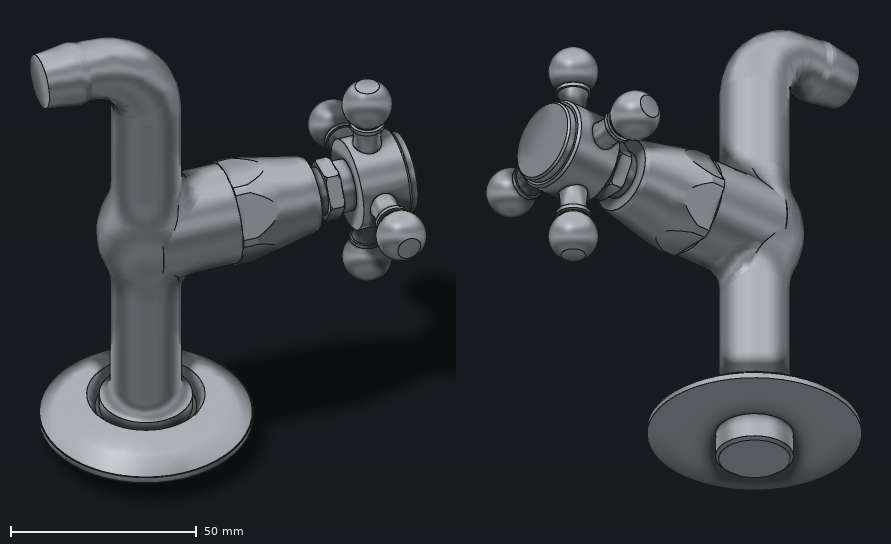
import cadquery as cq
import math

pipe_radius = 9.7
valve_z = 71.2
bulb_radius = 13.6
bulb_shoulder_radius = 11.5
bulb_shoulder_height = 9.2
bulb_half = 17.2

shank_radius = 10.5
shank_chamfer = 0.8
plate_bottom = 7.8
plate_rim_top = 9.7
plate_top = 15.7
plate_radius = 29.0
plate_rim_radius = 28.7
plate_land_radius = 16.8
plate_dome_rise = 0.8
recess_radius = 16.0
recess_floor_radius = 13.7
recess_depth = 4.2
foot_radius = 12.6
flare_height = 5.0

spout_z = 131.1
bend_radius = 16.2
spout_radius = 8.3
flare_start = 18.6
collar_start = 20.5
collar_end = 21.7
collar_radius = 8.8
nozzle_tip = 30.6
nozzle_tip_radius = 7.5

body_radius = 13.9
body_end = 22.8
body_fillet = 6.2
bonnet_radius = 14.5
bonnet_flat_apothem = 13.2
bonnet_cone_start = 26.9
bonnet_end = 47.0
bonnet_end_radius = 10.8
bonnet_end_chamfer = (0.5, 1.4)

spindle_radius = 6.7
nut_start = 50.1
nut_end = 54.3
nut_apothem = 7.5
nut_chamfer = 0.5
collar_neck_radius = 7.1

hub_start = 58.0
hub_end = 72.2
hub_radius = 12.6
hub_chamfer = 0.7
cap_radius = 11.2
cap_end = 74.7
cap_chamfer = 0.5
handle_y = 63.8
ball_centre = 26.0
ball_radius = 6.9
arm_tip = 32.0
arm_root_radius = 4.2
arm_root_inset = 1.4
arm_waist_radius = 3.6
ring_inner = 18.7
ring_outer = 19.9
ring_radius = 4.8
neck_radius = 3.8


def turn_about_z(profile):
    """Solid of revolution about Z from a closed XZ profile (X is the radius)."""
    return profile.close().revolve(360, (0, 0, 0), (0, 1, 0))


def lay_along_y(solid):
    """Tip a solid built on +Z onto the valve axis, pointing towards +Y."""
    return solid.rotate((0, 0, 0), (1, 0, 0), -90).translate((0, 0, valve_z))


def disc(radius, start, end):
    return cq.Workplane("XY", origin=(0, 0, start)).circle(radius).extrude(end - start)


def hexagon(apothem, start, end):
    corner_diameter = 2 * apothem / math.cos(math.pi / 6)
    return cq.Workplane("XY", origin=(0, 0, start)).polygon(6, corner_diameter).extrude(end - start)


def flare_middle(rise, pipe_end, height):
    """Middle point of the concave arc that leaves the pipe wall tangentially at z = pipe_end.

    The arc widens by rise over the signed axial distance height.
    """
    arc_radius = (rise**2 + height**2) / (2 * rise)
    turn = math.asin(abs(height) / arc_radius)
    middle_r = pipe_radius + arc_radius * (1 - math.cos(turn / 2))
    middle_z = pipe_end + math.copysign(arc_radius * math.sin(turn / 2), height)
    return (middle_r, middle_z)


def make_base():
    shank = disc(shank_radius, 0, plate_top).faces("<Z").chamfer(shank_chamfer)
    chord_r = (plate_rim_radius + plate_land_radius) / 2
    chord_z = (plate_rim_top + plate_top) / 2
    chord_angle = math.atan2(plate_top - plate_rim_top, plate_rim_radius - plate_land_radius)
    dome_middle = (
        chord_r + plate_dome_rise * math.sin(chord_angle),
        chord_z + plate_dome_rise * math.cos(chord_angle),
    )
    recess_floor = plate_top - recess_depth
    plate = turn_about_z(
        cq.Workplane("XZ")
        .moveTo(0, plate_bottom)
        .lineTo(plate_radius, plate_bottom)
        .lineTo(plate_radius, plate_rim_top)
        .lineTo(plate_rim_radius, plate_rim_top)
        .threePointArc(dome_middle, (plate_land_radius, plate_top))
        .lineTo(recess_radius, plate_top)
        .lineTo(recess_floor_radius, recess_floor)
        .lineTo(0, recess_floor)
    )
    flare_top = plate_top + flare_height
    foot = turn_about_z(
        cq.Workplane("XZ")
        .moveTo(0, recess_floor)
        .lineTo(foot_radius, recess_floor)
        .lineTo(foot_radius, plate_top)
        .threePointArc(
            flare_middle(foot_radius - pipe_radius, flare_top, -flare_height),
            (pipe_radius, flare_top),
        )
        .lineTo(0, flare_top)
    )
    return shank.union(plate).union(foot)


def make_bulb():
    """Barrel swelling: a convex arc blended into the pipe by concave arcs."""
    blend_rise = bulb_shoulder_radius - pipe_radius
    upper_middle = flare_middle(blend_rise, bulb_half, bulb_shoulder_height - bulb_half)
    lower_middle = (upper_middle[0], -upper_middle[1])
    bulb = turn_about_z(
        cq.Workplane("XZ")
        .moveTo(0, -bulb_half)
        .lineTo(pipe_radius, -bulb_half)
        .threePointArc(lower_middle, (bulb_shoulder_radius, -bulb_shoulder_height))
        .threePointArc((bulb_radius, 0), (bulb_shoulder_radius, bulb_shoulder_height))
        .threePointArc(upper_middle, (pipe_radius, bulb_half))
        .lineTo(0, bulb_half)
    )
    return bulb.translate((0, 0, valve_z))


def make_column_and_body():
    """Pipe with the horizontal valve body, filleted where they cross on the +Y side."""
    bend_start = spout_z - bend_radius
    pipe = disc(pipe_radius, plate_top, bend_start)
    crossing = lay_along_y(disc(body_radius, -body_end, body_end)).union(pipe)
    margin = 1.4
    crossing = crossing.edges(
        cq.selectors.BoxSelector(
            (-body_radius, -pipe_radius - margin, valve_z - body_radius - margin),
            (body_radius, pipe_radius + margin, valve_z + body_radius + margin),
        )
    ).fillet(body_fillet)
    keep_size = 279.8
    back_half = cq.Workplane("XY").box(keep_size, keep_size, keep_size).translate((0, keep_size / 2, 0))
    return crossing.intersect(back_half).union(pipe).union(make_bulb())


def make_spout():
    bend_start = spout_z - bend_radius
    slant = math.sqrt(0.5)
    path = (
        cq.Workplane("YZ")
        .moveTo(0, bend_start)
        .threePointArc(
            (-bend_radius * (1 - slant), bend_start + bend_radius * slant),
            (-bend_radius, spout_z),
        )
    )
    elbow = (
        cq.Workplane("XY", origin=(0, 0, bend_start))
        .circle(pipe_radius)
        .add(cq.Workplane("XZ", origin=(0, -bend_radius, spout_z)).circle(spout_radius))
        .toPending()
        .sweep(path, multisection=True)
    )
    nozzle = turn_about_z(
        cq.Workplane("XZ")
        .moveTo(0, bend_radius)
        .lineTo(spout_radius, bend_radius)
        .lineTo(spout_radius, flare_start)
        .lineTo(collar_radius, collar_start)
        .lineTo(collar_radius, collar_end)
        .lineTo(nozzle_tip_radius, nozzle_tip)
        .lineTo(0, nozzle_tip)
    )
    nozzle = nozzle.rotate((0, 0, 0), (1, 0, 0), 90).translate((0, 0, spout_z))
    return elbow.union(nozzle)


def make_bonnet():
    """Cone with six flats cut into its wide end, flats facing +Z and -Z."""
    chamfer_r, chamfer_y = bonnet_end_chamfer
    cone = turn_about_z(
        cq.Workplane("XZ")
        .moveTo(0, body_end)
        .lineTo(bonnet_radius, body_end)
        .lineTo(bonnet_radius, bonnet_cone_start)
        .lineTo(bonnet_end_radius, bonnet_end - chamfer_y)
        .lineTo(bonnet_end_radius - chamfer_r, bonnet_end)
        .lineTo(0, bonnet_end)
    )
    return lay_along_y(cone.intersect(hexagon(bonnet_flat_apothem, body_end, bonnet_end)))


def make_spindle():
    nut_corner = nut_apothem / math.cos(math.pi / 6)
    nut = hexagon(nut_apothem, nut_start, nut_end)
    nut = nut.intersect(disc(nut_corner, nut_start, nut_end).edges().chamfer(nut_chamfer))
    lower_neck = disc(spindle_radius, bonnet_end, nut_start)
    upper_neck = disc(collar_neck_radius, nut_end, hub_start)
    return lay_along_y(lower_neck.union(nut).union(upper_neck))


def make_arm():
    """One handle arm on +Z: waisted shaft, ring, neck and a ball with a flat end."""
    ball_start = ball_centre - math.sqrt(ball_radius**2 - neck_radius**2)
    flat_radius = math.sqrt(ball_radius**2 - (arm_tip - ball_centre) ** 2)
    root = hub_radius - arm_root_inset
    return turn_about_z(
        cq.Workplane("XZ")
        .lineTo(arm_root_radius, 0)
        .lineTo(arm_root_radius, root)
        .threePointArc((arm_waist_radius, (root + ring_inner) / 2), (arm_root_radius, ring_inner))
        .lineTo(ring_radius, ring_inner)
        .lineTo(ring_radius, ring_outer)
        .lineTo(neck_radius, ring_outer)
        .lineTo(neck_radius, ball_start)
        .threePointArc((ball_radius, ball_centre), (flat_radius, arm_tip))
        .lineTo(0, arm_tip)
    )


def make_handle():
    hub = disc(hub_radius, hub_start, hub_end).faces(">Z").chamfer(hub_chamfer)
    cap = disc(cap_radius, hub_end, cap_end).faces(">Z").chamfer(cap_chamfer)
    handle = lay_along_y(hub.union(cap))
    arm = make_arm()
    for quarter in range(4):
        turned = arm.rotate((0, 0, 0), (0, 1, 0), 90 * quarter)
        handle = handle.union(turned.translate((0, handle_y, valve_z)))
    return handle


result = (
    make_base()
    .union(make_column_and_body())
    .union(make_spout())
    .union(make_bonnet())
    .union(make_spindle())
    .union(make_handle())
)